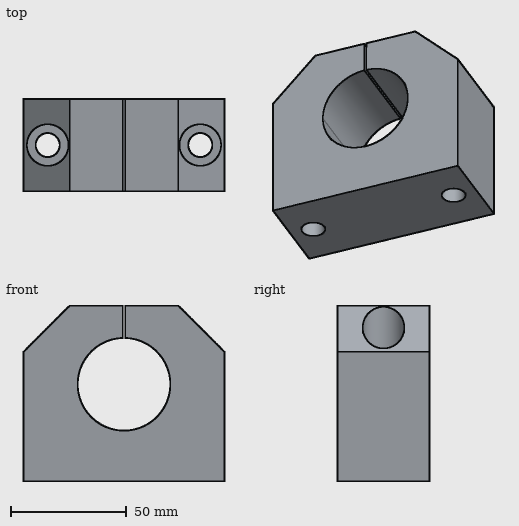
import cadquery as cq

width = 87.0
depth = 40.0
height = 76.0
corner_chamfer = 20.0

bore_diameter = 40.0
bore_height = 42.0
slit_width = 1.0

screw_spacing = 66.0
screw_diameter = 10.3
head_diameter = 18.0
head_seat_height = 38.0


def clamp_body():
    """Block resting on Z = 0 with its two upper corners cut at 45 degrees."""
    block = cq.Workplane("XY").box(width, depth, height, centered=(True, True, False))
    return block.edges("|Y and >Z").chamfer(corner_chamfer)


def shaft_bore():
    """Cylinder along Y for the clamped shaft."""
    return (
        cq.Workplane("XZ", origin=(0, 0, bore_height))
        .circle(bore_diameter / 2)
        .extrude(depth / 2, both=True)
    )


def clamping_slit():
    """Thin slot from the bore axis up through the top face."""
    return (
        cq.Workplane("XY", origin=(0, 0, bore_height))
        .rect(slit_width, depth)
        .extrude(height - bore_height)
    )


def mounting_hole(x):
    """Through hole with a wide upper part that seats the screw head."""
    through = cq.Workplane("XY").center(x, 0).circle(screw_diameter / 2).extrude(height)
    head = (
        cq.Workplane("XY", origin=(x, 0, head_seat_height))
        .circle(head_diameter / 2)
        .extrude(height - head_seat_height)
    )
    return through.union(head)


result = clamp_body().cut(shaft_bore()).cut(clamping_slit())
for side in (-1, 1):
    result = result.cut(mounting_hole(side * screw_spacing / 2))